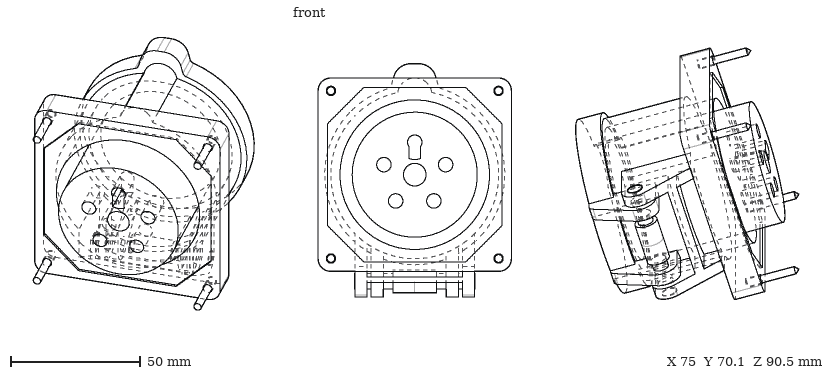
import cadquery as cq
import math


overall_height = 90.45

plate_size = 75.0
plate_thickness = 12.0
plate_corner_radius = 5.0
recess_width = 67.7
recess_side = 39.4
recess_depth = 1.0

screw_diameter = 3.0
screw_clearance_diameter = 3.6
screw_spacing = 64.9
screw_length = 15.2
screw_point_length = 1.5
screw_hole_depth = plate_thickness / 2

body_radius = 32.6
body_length = 32.9
ridge_radius = 6.7
ridge_top = plate_size / 2
cover_radius = 34.9
cover_thickness = 10.0
cover_front = plate_thickness + body_length
cover_back = cover_front + cover_thickness

bump_top = 43.05
bump_flat_width = 2.9
bump_radius = 7.0
bump_side_angle = math.radians(15)
bump_root_radius = 2.0

bore_diameter = 58.0
insert_diameter = 48.5
insert_projection = 12.0
centre_hole_diameter = 8.8
contact_hole_diameter = 5.6
contact_circle_radius = 12.6
contact_count = 5
contact_hole_depth = insert_projection
key_slot_width = 4.6
key_slot_reach = 6.7

lug_round_radius = 6.0
lug_round_y = 34.0
lug_round_z = bump_top - overall_height + lug_round_radius
lug_round_bottom = (lug_round_y, lug_round_z - lug_round_radius)
pin_y = 34.5
pin_z = -41.3
pin_diameter = 6.0
pin_length = 46.85
knuckle_diameter = 8.95
knuckle_length = 16.9
body_lug_outer = 23.2
body_lug_inner = 18.45
body_lug_root_z = -35.6
cover_lug_outer = 17.0
cover_lug_inner = 12.1
cover_lug_corner_z = -35.0
cover_lug_corner_radius = 3.6
web_front = 19
web_thickness = 3.6


def along_y(start):
    """XZ sketch plane at Y = start; positive extrusions run towards +Y, local x is -X."""
    return cq.Workplane(cq.Plane((0, start, 0), xDir=(-1, 0, 0), normal=(0, 1, 0)))


def cylinder_y(diameter, start, end, points=((0, 0),)):
    return along_y(start).pushPoints(points).circle(diameter / 2).extrude(end - start)


def cylinder_x(diameter, length, y, z):
    return cq.Workplane("YZ").center(y, z).circle(diameter / 2).extrude(length / 2, both=True)


def slab_pair(profile, inner, outer):
    """Copies of a closed YZ profile between inner and outer distance on both sides of X = 0."""
    slab = profile.extrude(outer - inner).translate((inner, 0, 0))
    return slab.union(slab.mirror("YZ"))


def lug_tangent(y, z, turn):
    """Point where the line from (y, z) touches the lug rounding; turn is its side, +1 or -1."""
    dy = y - lug_round_y
    dz = z - lug_round_z
    angle = math.atan2(dz, dy) + turn * math.acos(lug_round_radius / math.hypot(dy, dz))
    return (lug_round_y + lug_round_radius * math.cos(angle),
            lug_round_z + lug_round_radius * math.sin(angle))


def make_plate():
    plate = along_y(0).rect(plate_size, plate_size).extrude(plate_thickness)
    return plate.edges("|Y").fillet(plate_corner_radius)


def make_recess():
    """Shallow octagonal recess in the front face of the plate."""
    corner_cut = (recess_width - recess_side) / 2
    recess = along_y(0).rect(recess_width, recess_width).extrude(recess_depth)
    return recess.edges("|Y").chamfer(corner_cut)


def make_body():
    """Round body with a rounded ridge along its top, level with the plate edge."""
    body = cylinder_y(2 * body_radius, plate_thickness, cover_front)
    ridge = cylinder_y(2 * ridge_radius, plate_thickness, cover_front, [(0, ridge_top - ridge_radius)])
    return body.union(ridge)


def make_cover():
    disc = cylinder_y(2 * cover_radius, cover_front, cover_back)
    flat = bump_flat_width / 2
    arc_centre_z = bump_top - bump_radius
    arc_middle = (math.pi / 2 + bump_side_angle) / 2

    def arc_point(angle):
        return flat + bump_radius * math.cos(angle), arc_centre_z + bump_radius * math.sin(angle)

    side_x, side_z = arc_point(bump_side_angle)
    middle_x, middle_z = arc_point(arc_middle)
    foot_z = cover_radius - 2 * bump_radius
    foot_x = side_x + (side_z - foot_z) * math.tan(bump_side_angle)
    bump = (
        along_y(cover_front)
        .moveTo(-flat, bump_top)
        .lineTo(flat, bump_top)
        .threePointArc((middle_x, middle_z), (side_x, side_z))
        .lineTo(foot_x, foot_z)
        .lineTo(-foot_x, foot_z)
        .lineTo(-side_x, side_z)
        .threePointArc((-middle_x, middle_z), (-flat, bump_top))
        .close()
        .extrude(cover_thickness)
    )

    root_box = cq.selectors.BoxSelector(
        (-cover_radius, cover_front, cover_radius - bump_root_radius),
        (cover_radius, cover_back, cover_radius),
    )
    return disc.union(bump).edges("|Y").edges(root_box).fillet(bump_root_radius)


def make_body_lugs():
    lug_back = lug_round_y + lug_round_radius
    tangent = lug_tangent(plate_thickness, body_lug_root_z, 1)
    profile = (
        cq.Workplane("YZ")
        .moveTo(plate_thickness, 0)
        .lineTo(plate_thickness, body_lug_root_z)
        .lineTo(*tangent)
        .threePointArc(lug_round_bottom, (lug_back, lug_round_z))
        .lineTo(lug_back, 0)
        .close()
    )
    lugs = slab_pair(profile, body_lug_inner, body_lug_outer)

    slope = (tangent[1] - body_lug_root_z) / (tangent[0] - plate_thickness)
    web_back = web_front + web_thickness
    web = (
        cq.Workplane("YZ")
        .moveTo(web_front, 0)
        .lineTo(web_front, body_lug_root_z + slope * (web_front - plate_thickness))
        .lineTo(web_back, body_lug_root_z + slope * (web_back - plate_thickness))
        .lineTo(web_back, 0)
        .close()
        .extrude(body_lug_inner, both=True)
    )
    return lugs.union(web)


def make_cover_lugs():
    lug_front = lug_round_y - lug_round_radius
    profile = (
        cq.Workplane("YZ")
        .moveTo(lug_front, 0)
        .lineTo(lug_front, lug_round_z)
        .threePointArc(lug_round_bottom, lug_tangent(cover_back, cover_lug_corner_z, -1))
        .lineTo(cover_back, cover_lug_corner_z)
        .lineTo(cover_back, 0)
        .close()
    )
    lugs = slab_pair(profile, cover_lug_inner, cover_lug_outer)
    return lugs.faces(">Y").edges("<Z").fillet(cover_lug_corner_radius)


def make_hinge_pin():
    pin = cylinder_x(pin_diameter, pin_length, pin_y, pin_z)
    return pin.union(cylinder_x(knuckle_diameter, knuckle_length, pin_y, pin_z))


def make_insert():
    """Insert standing on the cover inside the bore, with contact holes in its front face."""
    front = -insert_projection
    hole_bottom = front + contact_hole_depth
    insert = cylinder_y(insert_diameter, front, cover_front)

    contacts = []
    for index in range(contact_count):
        angle = math.pi / 2 + 2 * math.pi * index / contact_count
        contacts.append((contact_circle_radius * math.cos(angle), contact_circle_radius * math.sin(angle)))
    insert = insert.cut(cylinder_y(centre_hole_diameter, front, hole_bottom))
    insert = insert.cut(cylinder_y(contact_hole_diameter, front, hole_bottom, contacts))

    half_slot = key_slot_width / 2
    slot_side_end = contact_circle_radius - math.sqrt(key_slot_reach**2 - half_slot**2)
    key_slot = (
        along_y(front)
        .moveTo(half_slot, contact_circle_radius)
        .lineTo(half_slot, slot_side_end)
        .threePointArc((0, contact_circle_radius - key_slot_reach), (-half_slot, slot_side_end))
        .lineTo(-half_slot, contact_circle_radius)
        .close()
        .extrude(contact_hole_depth)
    )
    return insert.cut(key_slot)


def make_screws(points):
    shank_front = screw_point_length - screw_length
    screws = cylinder_y(screw_diameter, shank_front, screw_hole_depth, points)
    for x, z in points:
        point = cq.Solid.makeCone(
            screw_diameter / 2, 0, screw_point_length, cq.Vector(x, shank_front, z), cq.Vector(0, -1, 0)
        )
        screws = screws.union(cq.Workplane(point))
    return screws


half_spacing = screw_spacing / 2
screw_points = [(x, z) for x in (-half_spacing, half_spacing) for z in (-half_spacing, half_spacing)]

housing = make_plate().union(make_body()).union(make_cover())
housing = housing.union(make_body_lugs()).union(make_cover_lugs()).union(make_hinge_pin())
housing = housing.cut(make_recess())
housing = housing.cut(cylinder_y(bore_diameter, 0, cover_front))
housing = housing.cut(cylinder_y(screw_clearance_diameter, 0, screw_hole_depth, screw_points))

result = housing.union(make_insert()).union(make_screws(screw_points))